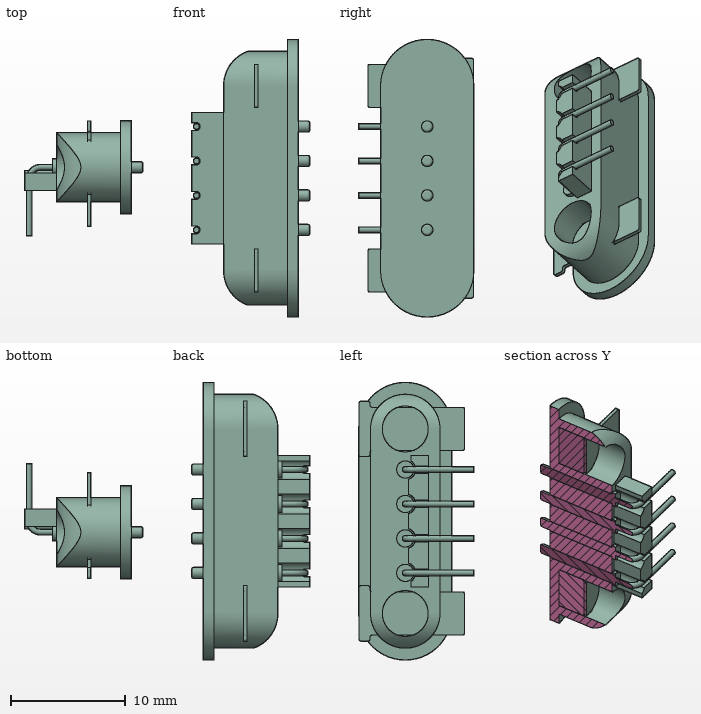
import cadquery as cq


shell_radius = 3.02
shell_length = 5.57
flange_radius = 4.07
flange_thickness = 0.95
overall_height = 24.2
end_center_z = overall_height / 2 - flange_radius
rear_round_radius = 3.22
front_face_x = shell_length + flange_thickness

bore_diameter = 4.0
bore_depth = shell_length

pin_count = 4
pin_pitch = 3.0
tip_diameter = 1.0
tip_length = 1.02
tip_edge_radius = 0.22
collar_diameter = 1.5
collar_thickness = 0.36
wire_diameter = 0.5
bend_radius = 1.0
tail_end_y = -5.98
pin_heights = [pin_pitch * (i - (pin_count - 1) / 2) for i in range(pin_count)]

block_length = 2.78
block_height = 11.47
block_bottom_y = -2.03
block_top_y = -0.27
block_end_top_y = -0.48
block_step_z = pin_heights[-1]
slot_width = 0.65
groove_radius = 0.9
tail_inset = 0.4
tail_x = tail_inset - block_length

clip_rear_x = 2.69
clip_thickness = 0.31
clip_tail_half_width = 1.89
clip_head_half_width = 2.42
clip_tail_end_y = -5.18
clip_head_inner_y = 3.07
clip_head_outer_y = 4.05
clip_corner_radius = 0.2


def box_between(x_range, y_range, z_range):
    """Box given by its lower and upper limit along each axis."""
    sizes = [high - low for low, high in (x_range, y_range, z_range)]
    corner = (x_range[0], y_range[0], z_range[0])
    return cq.Workplane("XY").box(*sizes, centered=False).translate(corner)


def rod_along_x(diameter, x_start, x_end, z):
    """Cylinder along X on the Y = 0 plane."""
    return (
        cq.Workplane("YZ", origin=(x_start, 0, z))
        .circle(diameter / 2)
        .extrude(x_end - x_start)
    )


def stadium(radius, x_start, length):
    """Upright plate with both ends rounded about the end centers."""
    return (
        cq.Workplane("YZ", origin=(x_start, 0, 0))
        .slot2D(2 * (end_center_z + radius), 2 * radius, 90)
        .extrude(length)
    )


def make_shell():
    """Stadium shell whose rear ends roll over into the rounded top and bottom."""
    half_height = end_center_z + rear_round_radius
    rounded_envelope = box_between(
        (0, shell_length), (-shell_radius, shell_radius), (-half_height, half_height)
    ).edges("|Y and <X").fillet(rear_round_radius)
    return stadium(shell_radius, 0, shell_length).intersect(rounded_envelope)


def make_tail_block():
    """Block under the contact tails, with a groove and an open slot for each tail."""
    block_x = (-block_length, 0)
    half_height = block_height / 2
    block = box_between(block_x, (block_bottom_y, block_end_top_y), (-half_height, half_height))
    block = block.union(
        box_between(block_x, (block_bottom_y, block_top_y), (-block_step_z, block_step_z))
    )
    for z in pin_heights:
        groove = rod_along_x(2 * groove_radius, -block_length, 0, z)
        slot_mouth = box_between(
            (-block_length, tail_x), (block_bottom_y, 0), (z - slot_width / 2, z + slot_width / 2)
        )
        slot_end = (
            cq.Workplane("XZ", origin=(tail_x, 0, z))
            .circle(slot_width / 2)
            .extrude(-block_bottom_y)
        )
        block = block.cut(groove).cut(slot_mouth).cut(slot_end)
    return block


def make_clip(z):
    """Flat T-shaped clip that crosses the housing in front of a magnet."""
    clip_x = (clip_rear_x, clip_rear_x + clip_thickness)
    tail = box_between(
        clip_x,
        (clip_tail_end_y, clip_head_inner_y),
        (-clip_tail_half_width, clip_tail_half_width),
    )
    head = box_between(
        clip_x,
        (clip_head_inner_y, clip_head_outer_y),
        (-clip_head_half_width, clip_head_half_width),
    )
    clip = tail.union(head).edges("|X").fillet(clip_corner_radius)
    return clip.translate((0, 0, z))


def make_pin(z):
    """Contact pin: rounded tip and barrel, rear collar, and a wire tail bent to -Y."""
    tip_x = front_face_x + tip_length
    barrel = rod_along_x(tip_diameter, 0, tip_x, z).faces(">X").edges().fillet(tip_edge_radius)
    collar = rod_along_x(collar_diameter, -collar_thickness, 0, z)
    wire_path = (
        cq.Workplane("XY", origin=(0, 0, z))
        .moveTo(-collar_thickness, 0)
        .lineTo(tail_x + bend_radius, 0)
        .radiusArc((tail_x, -bend_radius), -bend_radius)
        .lineTo(tail_x, tail_end_y)
    )
    wire = (
        cq.Workplane("YZ", origin=(-collar_thickness, 0, z))
        .circle(wire_diameter / 2)
        .sweep(wire_path)
    )
    return barrel.union(collar).union(wire)


def make_magnet(z):
    """Magnet filling the bore between the clip and the bore floor."""
    return rod_along_x(bore_diameter, clip_rear_x + clip_thickness, bore_depth, z)


def make_housing(clips):
    """Shell, flange and tail block in one piece, opened for the magnets, pins and clips."""
    flange = stadium(flange_radius, shell_length, flange_thickness)
    housing = make_shell().union(flange).union(make_tail_block())
    for z in bore_heights:
        housing = housing.cut(rod_along_x(bore_diameter, 0, bore_depth, z))
    for z in pin_heights:
        housing = housing.cut(rod_along_x(tip_diameter, 0, front_face_x, z))
    for clip in clips:
        housing = housing.cut(clip)
    return housing


bore_heights = [-end_center_z, end_center_z]
clips = [make_clip(z) for z in bore_heights]
magnets = [make_magnet(z) for z in bore_heights]
pins = [make_pin(z) for z in pin_heights]
housing = make_housing(clips)

bodies = [housing, *clips, *magnets, *pins]
result = cq.Compound.makeCompound([body.val() for body in bodies])